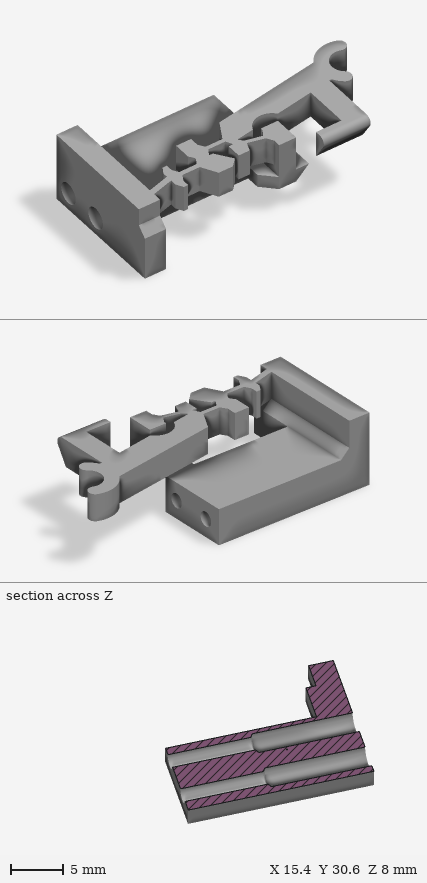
import cadquery as cq
import math

HEIGHT = 8.0
PLATE_TOP = 4.0
LEVER_BOTTOM = 5.0
LEDGE_BOTTOM = 2.5

WALL_LENGTH = 14.65
WALL_DEPTH = 2.5
WALL_CHAMFER = 1.0
PLATE_WIDTH = 8.2
PLATE_END = 18.5
GUSSET_LENGTH = 12.0
GUSSET_DEPTH = LEVER_BOTTOM - PLATE_TOP

HOLE_XS = (2.0, 6.5)
HOLE_Z = 2.0
BORE_DIAMETER = 2.4
BORE_DEPTH = 10.0
BORE_TIP_ANGLE = 120.0
THROUGH_DIAMETER = 1.6

POST_LEFT = 10.6
POST_RIGHT = 13.65
POST_FRONT = 16.5
LEDGE_FRONT = 15.0
LEDGE_TAPER_ANGLE = 45.0
LEDGE_SLOPE = PLATE_TOP - LEDGE_BOTTOM
LEDGE_BACK = PLATE_END + LEDGE_SLOPE

ARM_LEFT_FOOT = (7.55, 13.8)
ARM_RIGHT_FOOT = (10.65, 13.7)
ARM_LEFT_TOP = (5.5, 26.3)
ARM_RIGHT_KNEE = (9.0, 23.5)
RELIEF_CENTER = (10.9, 17.6)
RELIEF_RADIUS = 1.9

BEAM_FRONT = ARM_RIGHT_KNEE[1]
BEAM_BACK = 26.0
BEAM_LEFT = 8.55
HOOK_LEFT = 14.1
HOOK_FRONT = 20.5
HOOK_CORNER = 15.97
HOOK_NOSE_RADIUS = 0.7

CLIP_CENTER = (7.05, 29.0)
CLIP_INNER_RADIUS = 1.6
CLIP_OUTER_RADIUS = 3.1
CLIP_START_ANGLE = 160.0
CLIP_END_ANGLE = 323.0

ROOT_LEAF_LEFT = 11.95
ROOT_LEAF_WIDTH = 0.7
ROOT_LEAF_LEAN = 0.7
LOWER_LEAF_LEFT = 11.36
LOWER_LEAF_RIGHT = 11.9
UPPER_LEAF_LEFT = 9.75
UPPER_LEAF_RIGHT = 10.22
TIP_LEAF_LEFT = 11.14
TIP_LEAF_RIGHT = 11.6
TIP_LEAF_FRONT = 14.15
TIP_LEAF_BACK = 16.05
TIP_LEAF_LEAN = 0.47

CROSS_FRONT = 5.0
CROSS_SIDE = 5.45
CROSS_BACK = 5.95
CROSS_NECK = 6.35
CROSS_CENTER = 11.67
CROSS_HALF_WIDTH = 1.77
CROSS_HALF_CORE = 1.0

STOP_LEFT = 8.0
STOP_RIGHT = 13.65
STOP_FRONT = 8.4
STOP_BACK = 10.15
STOP_NECK = 10.6
STOP_ROOT_LEFT = 9.05
STOP_SIDE_FRONT = 9.4
STOP_SIDE_BACK = 11.05
STOP_PEAK = (12.8, 11.9)
NOTCH_START = 9.97
NOTCH_TOP_LEFT = 10.53
NOTCH_TOP_RIGHT = 10.74
NOTCH_DEPTH = 0.4

STEP_X = 10.98
FOOT_NECK = 12.6
FOOT_STEP = 13.0
TOE_RIGHT = 12.65
TOE_FRONT = 12.45
TOE_BACK = 13.75

FLARE_LEFT = 10.9
FLARE_RIGHT = 12.8


def box(x0, x1, y0, y1, z0, z1):
    """Axis-aligned block between two opposite corners."""
    return cq.Workplane("XY").box(x1 - x0, y1 - y0, z1 - z0, centered=False).translate((x0, y0, z0))


def prism(outline, bottom=LEVER_BOTTOM, top=HEIGHT):
    """Closed XY outline extruded from bottom to top."""
    return cq.Workplane("XY").workplane(offset=bottom).polyline(outline).close().extrude(top - bottom)


def base():
    """Plate, front wall with a chamfered undercut at its right end, and the sloped gusset."""
    plate = box(0, PLATE_WIDTH, 0, PLATE_END, 0, PLATE_TOP)
    neck = WALL_LENGTH - WALL_CHAMFER
    neck_bottom = LEVER_BOTTOM + WALL_CHAMFER
    wall = (
        cq.Workplane("XZ")
        .polyline([
            (0, 0),
            (WALL_LENGTH, 0),
            (WALL_LENGTH, LEVER_BOTTOM),
            (neck, neck_bottom),
            (neck, HEIGHT),
            (0, HEIGHT),
        ])
        .close()
        .extrude(-WALL_DEPTH)
    )
    gusset = (
        cq.Workplane("YZ")
        .polyline([
            (0, 0),
            (WALL_DEPTH + GUSSET_DEPTH, 0),
            (WALL_DEPTH + GUSSET_DEPTH, PLATE_TOP),
            (WALL_DEPTH, LEVER_BOTTOM),
            (0, LEVER_BOTTOM),
        ])
        .close()
        .extrude(GUSSET_LENGTH)
    )
    return plate.union(wall).union(gusset)


def stepped_hole(x):
    """Hole along Y: a wide front bore with a conical bottom, then a narrow bore through the back."""
    bore_radius = BORE_DIAMETER / 2
    through_radius = THROUGH_DIAMETER / 2
    cone_length = (bore_radius - through_radius) / math.tan(math.radians(BORE_TIP_ANGLE / 2))
    return (
        cq.Workplane("XY")
        .polyline([
            (0, 0),
            (bore_radius, 0),
            (bore_radius, BORE_DEPTH),
            (through_radius, BORE_DEPTH + cone_length),
            (through_radius, PLATE_END),
            (0, PLATE_END),
        ])
        .close()
        .revolve(360, (0, 0, 0), (0, 1, 0))
        .rotate((0, 0, 0), (0, 1, 0), 90)
        .translate((x, 0, HOLE_Z))
    )


def anchor():
    """Fixed post on a ledge whose back and back-left sides slope inward at 45 degrees below."""
    inside_plate = PLATE_WIDTH - LEDGE_SLOPE
    bevel_end = LEDGE_BACK - (POST_LEFT - inside_plate)
    ledge = prism([
        (inside_plate, LEDGE_FRONT),
        (POST_RIGHT - LEDGE_SLOPE, LEDGE_FRONT),
        (POST_RIGHT, LEDGE_FRONT + LEDGE_SLOPE),
        (POST_RIGHT, LEDGE_BACK),
        (POST_LEFT, LEDGE_BACK),
        (inside_plate, bevel_end),
    ], LEDGE_BOTTOM, PLATE_TOP)
    left = inside_plate - LEDGE_SLOPE
    right = POST_RIGHT + LEDGE_SLOPE
    front = LEDGE_FRONT - LEDGE_SLOPE
    envelope = (
        cq.Workplane("XY")
        .workplane(offset=PLATE_TOP)
        .polyline([
            (left, front),
            (right, front),
            (right, LEDGE_BACK),
            (POST_LEFT, LEDGE_BACK),
            (left, LEDGE_BACK - (POST_LEFT - left)),
        ])
        .close()
        .extrude(-LEDGE_SLOPE, taper=LEDGE_TAPER_ANGLE)
    )
    post = box(POST_LEFT, POST_RIGHT, POST_FRONT, PLATE_END, PLATE_TOP, HEIGHT)
    return ledge.intersect(envelope).union(post)


def lever_arm():
    """Slanted arm with a round relief beside the anchor post."""
    arm = prism([
        ARM_LEFT_FOOT,
        (UPPER_LEAF_LEFT, FOOT_NECK),
        (UPPER_LEAF_RIGHT, FOOT_NECK),
        (STEP_X, FOOT_STEP),
        ARM_RIGHT_FOOT,
        ARM_RIGHT_KNEE,
        (BEAM_LEFT, BEAM_BACK),
        (BEAM_LEFT, ARM_LEFT_TOP[1]),
        ARM_LEFT_TOP,
    ])
    relief = (
        cq.Workplane("XY")
        .workplane(offset=LEVER_BOTTOM)
        .center(*RELIEF_CENTER)
        .circle(RELIEF_RADIUS)
        .extrude(HEIGHT - LEVER_BOTTOM)
    )
    return arm.cut(relief)


def latch_hook():
    """Side beam ending in a hook with a sloped underside and a rounded nose."""
    beam = box(BEAM_LEFT, HOOK_LEFT, BEAM_FRONT, BEAM_BACK, LEVER_BOTTOM, HEIGHT)
    hook = (
        cq.Workplane("XZ", origin=(0, HOOK_FRONT, 0))
        .polyline([(HOOK_LEFT, LEVER_BOTTOM), (HOOK_CORNER, HEIGHT), (HOOK_LEFT, HEIGHT)])
        .close()
        .extrude(HOOK_FRONT - BEAM_BACK)
        .edges("|Y and >X")
        .fillet(HOOK_NOSE_RADIUS)
    )
    return beam.union(hook)


def clip_point(radius, angle):
    """Point at a polar position about the clip center."""
    turn = math.radians(angle)
    return (CLIP_CENTER[0] + radius * math.cos(turn), CLIP_CENTER[1] + radius * math.sin(turn))


def finger_clip():
    """C-shaped ring segment with round ends."""
    middle_angle = (CLIP_START_ANGLE + CLIP_END_ANGLE) / 2
    return (
        cq.Workplane("XY")
        .workplane(offset=LEVER_BOTTOM)
        .moveTo(*clip_point(CLIP_OUTER_RADIUS, CLIP_START_ANGLE))
        .threePointArc(
            clip_point(CLIP_OUTER_RADIUS, middle_angle), clip_point(CLIP_OUTER_RADIUS, CLIP_END_ANGLE)
        )
        .tangentArcPoint(clip_point(CLIP_INNER_RADIUS, CLIP_END_ANGLE), relative=False)
        .threePointArc(
            clip_point(CLIP_INNER_RADIUS, middle_angle), clip_point(CLIP_INNER_RADIUS, CLIP_START_ANGLE)
        )
        .tangentArcPoint(clip_point(CLIP_OUTER_RADIUS, CLIP_START_ANGLE), relative=False)
        .close()
        .extrude(HEIGHT - LEVER_BOTTOM)
    )


def leaf(left, right, front, back):
    """Straight leaf along Y."""
    return box(left, right, front, back, LEVER_BOTTOM, HEIGHT)


def root_leaf():
    """Leaf leaning to the left from the front wall to the cross link."""
    right = ROOT_LEAF_LEFT + ROOT_LEAF_WIDTH
    return prism([
        (ROOT_LEAF_LEFT, WALL_DEPTH),
        (right, WALL_DEPTH),
        (right - ROOT_LEAF_LEAN, CROSS_FRONT),
        (ROOT_LEAF_LEFT - ROOT_LEAF_LEAN, CROSS_FRONT),
    ])


def cross_link():
    """Short crossbar with beveled front corners, necked down to the lower leaf."""
    left = CROSS_CENTER - CROSS_HALF_WIDTH
    right = CROSS_CENTER + CROSS_HALF_WIDTH
    core_left = CROSS_CENTER - CROSS_HALF_CORE
    core_right = CROSS_CENTER + CROSS_HALF_CORE
    return prism([
        (core_left, CROSS_FRONT),
        (core_right, CROSS_FRONT),
        (right, CROSS_SIDE),
        (right, CROSS_BACK),
        (core_right, CROSS_BACK),
        (LOWER_LEAF_RIGHT, CROSS_NECK),
        (LOWER_LEAF_LEFT, CROSS_NECK),
        (core_left, CROSS_BACK),
        (left, CROSS_BACK),
        (left, CROSS_SIDE),
    ])


def stop_link():
    """Stiff link between the lower and upper leaves, with a stop bar on the left and a peak on the right."""
    return prism([
        (STOP_LEFT, STOP_FRONT),
        (NOTCH_START, STOP_FRONT),
        (NOTCH_TOP_LEFT, STOP_FRONT + NOTCH_DEPTH),
        (NOTCH_TOP_RIGHT, STOP_FRONT + NOTCH_DEPTH),
        (LOWER_LEAF_LEFT, STOP_FRONT),
        (LOWER_LEAF_RIGHT, STOP_FRONT),
        (STOP_RIGHT, STOP_SIDE_FRONT),
        (STOP_RIGHT, STOP_SIDE_BACK),
        STOP_PEAK,
        (STEP_X, STOP_NECK),
        (STEP_X, STOP_BACK),
        (UPPER_LEAF_RIGHT, STOP_NECK),
        (UPPER_LEAF_LEFT, STOP_NECK),
        (STOP_ROOT_LEFT, STOP_BACK),
        (STOP_LEFT, STOP_BACK),
    ])


def toe():
    """Toe on the arm foot, with the last leaf leaning to the right up to the anchor post."""
    return prism([
        (STEP_X, TOE_FRONT),
        (TOE_RIGHT, TOE_FRONT),
        (TOE_RIGHT, TOE_BACK),
        (TIP_LEAF_RIGHT, TIP_LEAF_FRONT),
        (TIP_LEAF_RIGHT + TIP_LEAF_LEAN, TIP_LEAF_BACK),
        (FLARE_RIGHT, POST_FRONT),
        (FLARE_LEFT, POST_FRONT),
        (TIP_LEAF_LEFT + TIP_LEAF_LEAN, TIP_LEAF_BACK),
        (TIP_LEAF_LEFT, TIP_LEAF_FRONT),
        ARM_RIGHT_FOOT,
        (STEP_X, FOOT_STEP),
    ])


def flexure_chain():
    """Thin leaves and stiff links from the front wall to the arm and on to the anchor post."""
    return (
        cross_link()
        .union(root_leaf())
        .union(leaf(LOWER_LEAF_LEFT, LOWER_LEAF_RIGHT, CROSS_NECK, STOP_FRONT))
        .union(stop_link())
        .union(leaf(UPPER_LEAF_LEFT, UPPER_LEAF_RIGHT, STOP_NECK, FOOT_NECK))
        .union(toe())
    )


body = base()
for hole_x in HOLE_XS:
    body = body.cut(stepped_hole(hole_x))

for feature in (anchor(), lever_arm(), latch_hook(), finger_clip(), flexure_chain()):
    body = body.union(feature)

result = body